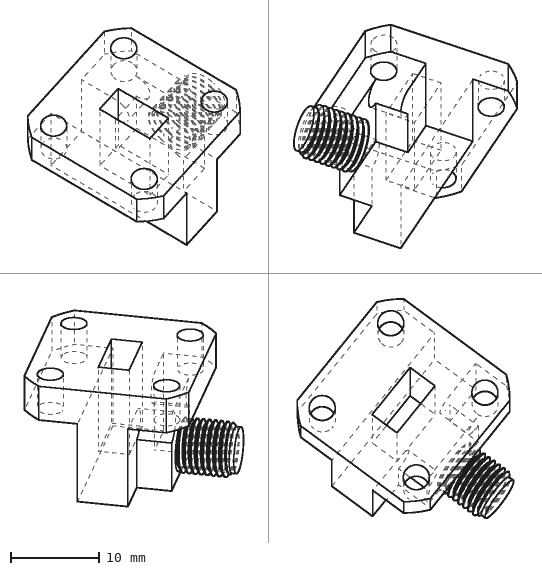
import cadquery as cq


flange_side = 19.05
flange_thickness = 4.318
flange_corner_radius = 12.04

hole_diameter = 2.946
hole_spacing_x = 12.70
hole_spacing_y = 13.462

total_height = 14.24
block_depth = 5.87
boss_width = flange_side / 2
boss_back_y = 6.97

groove_radius = 1.89
groove_axis_z = -flange_thickness - groove_radius

connector_axis_z = -10.72
connector_end_y = 13.715
connector_core_diameter = 5.33
thread_diameter = 6.35
thread_pitch = 25.4 / 36
thread_crest_width = 0.10
thread_root_width = 0.96 * thread_pitch
thread_root_overlap = 0.05
thread_envelope_clearance = 0.05
thread_end_y = 13.18
thread_start_y = boss_back_y - 1.5 * thread_pitch
thread_start_angle = -60.0

waveguide_width = 7.04
waveguide_height = 3.556
waveguide_depth = -connector_axis_z


def make_flange():
    square = cq.Workplane("XY").rect(flange_side, flange_side).extrude(-flange_thickness)
    disc = cq.Workplane("XY").circle(flange_corner_radius).extrude(-flange_thickness)
    return square.intersect(disc)


def make_block():
    return (
        cq.Workplane("XY")
        .workplane(offset=-flange_thickness)
        .rect(flange_side, block_depth)
        .extrude(flange_thickness - total_height)
    )


def make_boss():
    boss = (
        cq.Workplane("XY")
        .workplane(offset=-flange_thickness)
        .center(0, boss_back_y / 2)
        .rect(boss_width, boss_back_y)
        .extrude(flange_thickness - total_height)
    )
    for side in (-1, 1):
        groove = (
            cq.Workplane("XZ")
            .center(side * boss_width / 2, groove_axis_z)
            .circle(groove_radius)
            .extrude(-boss_back_y)
        )
        boss = boss.cut(groove)
    return boss


def make_thread(length):
    """Right-handed V thread along +Z, chamfered at 45 degrees down to the core at its outer end."""
    core_radius = connector_core_diameter / 2
    crest_radius = thread_diameter / 2
    root_radius = core_radius - thread_root_overlap
    root_half_width = thread_root_width / 2
    crest_half_width = thread_crest_width / 2

    helix = cq.Workplane(obj=cq.Wire.makeHelix(thread_pitch, length + thread_pitch, root_radius))
    ridge = (
        cq.Workplane("XZ")
        .moveTo(root_radius, -root_half_width)
        .lineTo(crest_radius, -crest_half_width)
        .lineTo(crest_radius, crest_half_width)
        .lineTo(root_radius, root_half_width)
        .close()
        .sweep(helix, isFrenet=True)
    )
    chamfer = crest_radius - core_radius
    envelope = (
        cq.Workplane("XY")
        .workplane(offset=-thread_pitch)
        .circle(crest_radius + thread_envelope_clearance)
        .extrude(thread_pitch + length)
        .faces(">Z")
        .chamfer(chamfer + thread_envelope_clearance)
    )
    return ridge.intersect(envelope)


def make_connector():
    length = connector_end_y - thread_start_y
    core = cq.Workplane("XY").circle(connector_core_diameter / 2).extrude(length)
    thread = make_thread(thread_end_y - thread_start_y)
    thread = thread.rotate((0, 0, 0), (0, 0, 1), thread_start_angle)
    return (
        core.union(thread)
        .rotate((0, 0, 0), (1, 0, 0), -90)
        .translate((0, thread_start_y, connector_axis_z))
    )


def cut_mounting_holes(body):
    holes = (
        cq.Workplane("XY")
        .rect(hole_spacing_x, hole_spacing_y, forConstruction=True)
        .vertices()
        .circle(hole_diameter / 2)
        .extrude(-flange_thickness)
    )
    return body.cut(holes)


def cut_waveguide(body):
    opening = cq.Workplane("XY").rect(waveguide_width, waveguide_height).extrude(-waveguide_depth)
    return body.cut(opening)


body = make_flange().union(make_block()).union(make_boss())
body = cut_mounting_holes(body)
body = cut_waveguide(body)
result = body.union(make_connector())